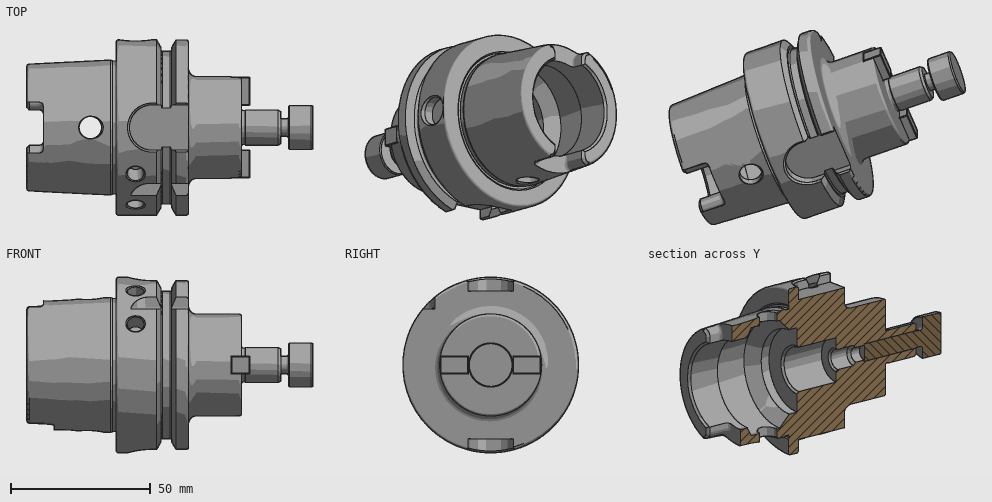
import cadquery as cq
import math

TAPER_LENGTH = 32.0
FLANGE_WIDTH = 26.0
HUB_END_X = 45.0
SPIGOT_END_X = 59.0
OVERALL_LENGTH = 102.47
NOSE_X = -TAPER_LENGTH
CUT_CLEARANCE = 1.0
HEAD_END_X = OVERALL_LENGTH - TAPER_LENGTH

GAUGE_RADIUS = 48.0 / 2
GAUGE_X = -6.3
TAPER_RATE = 1 / 9.98
TAPER_END_X = -1.9
NOSE_FILLET = 1.0
RELIEF_X = -1.2
RELIEF_RADIUS = 23.9
RELIEF_DEPTH = 0.35
RELIEF_INNER_RADIUS = 24.8
RELIEF_OUTER_RADIUS = 25.3

FLANGE_RADIUS = 63.0 / 2
FLANGE_FILLET = 1.0
GROOVE_CENTRE_X = 18.0
GROOVE_MOUTH = 7.0
GROOVE_WAIST = 3.75
GROOVE_RADIUS = 27.4
GROOVE_WALL_ANGLE = math.radians(60)
GROOVE_WAIST_RADIUS = FLANGE_RADIUS - (GROOVE_MOUTH - GROOVE_WAIST) / 2 * math.tan(GROOVE_WALL_ANGLE)
GROOVE_FILLET = 0.5

HUB_RADIUS = 36.6 / 2
HUB_FILLET = 2.8
HUB_END_FILLET = 0.9
SPIGOT_RADIUS = 12.7 / 2
SPIGOT_CHAMFER = 1.0
SPIGOT_CHAMFER_DEPTH = 0.6
NECK_RADIUS = 12.3 / 2
NECK_LENGTH = 1.2
NECK_FILLET = 0.4

BORE_RADIUS = 34.0 / 2
BORE_CHAMFER = 0.8
LIP_END_X = -18.9
LIP_SLOPE = math.radians(30)
CLAMP_RADIUS = 20.3
CLAMP_END_X = -4.0
BORE_FLOOR_X = 4.0
BORE_FLOOR_RADIUS = 15.9
THREAD_RADIUS = 16.6 / 2
THREAD_CHAMFER = 0.8
THREAD_FLOOR_X = 22.0
COOLANT_RADIUS = 7.5 / 2
COOLANT_CHAMFER = 0.7
COOLANT_FLOOR_X = 30.0
TAP_DRILL_RADIUS = 5.36 / 2

NOTCH_HALF_WIDTH = 12.54 / 2
NOTCH_LIP_RADIUS = 2.8
NOTCH_LIP_START = 18.0
NOTCH_BOTTOM = 12.0
NOTCH_FLOOR_FILLET = 1.5
NOTCH_MOUTH_CHAMFER = NOSE_FILLET
TOP_NOTCH_DEPTH = 6.0
BOTTOM_NOTCH_DEPTH = 9.8

CROSS_HOLE_ANGLE = 90.0
CROSS_HOLE_X = -9.2
CROSS_HOLE_RADIUS = 8.0 / 2
CROSS_HOLE_CHAMFER = 0.4

POCKET_FLOOR = 26.5
POCKET_HALF_WIDTH = 8.1
POCKET_CENTRE_X = 12.9
POCKET_RIM_CHAMFER = 0.7
ORIENTATION_OFFSET = 20.0
ORIENTATION_CUTTER_RADIUS = 7.5
ORIENTATION_CENTRE_X = 11.9
ORIENTATION_FILLET = 0.5
RADIAL_HOLE_X = 7.0
RADIAL_HOLE_ANGLES = (28.0, 58.0)
RADIAL_HOLE_RADIUS = 6.0 / 2
RADIAL_HOLE_CHAMFER = 0.5
RADIAL_HOLE_FLOOR = 23.5
CHIP_HOLE_ANGLE = 180.0
CHIP_HOLE_X = RADIAL_HOLE_X
CHIP_HOLE_RADIUS = 10.0 / 2
CHIP_HOLE_CHAMFER = 1.0
CHIP_HOLE_FLOOR = 27.0

KEY_WIDTH = 6.35
KEY_START_X = 41.2
KEY_END_X = 48.0
KEY_INNER_Y = 7.95
KEY_OUTER_Y = 18.05
KEY_CHAMFER = 0.3
KEY_ANGLES = (0, 180)

SCREW_RADIUS = 6.35 / 2
SCREW_START_X = 35.0
HEAD_RADIUS = 15.88 / 2
HEAD_START_X = 61.8
HEAD_INNER_FILLET = 0.8
HEAD_BACK_CHAMFER = 0.4
HEAD_FRONT_CHAMFER_LENGTH = 0.6
HEAD_FRONT_CHAMFER_DEPTH = 0.3


def taper_radius(x):
    """Outer radius of the taper shank at a station along the axis."""
    return GAUGE_RADIUS + (x - GAUGE_X) * TAPER_RATE / 2


def revolve_about_x(profile):
    return profile.close().revolve(360, (0, 0, 0), (1, 0, 0))


def radial_plane(angle, x, height):
    """Plane whose normal points radially outward, angle measured from -Y towards +Z."""
    y = -math.cos(math.radians(angle))
    z = math.sin(math.radians(angle))
    return cq.Workplane(cq.Plane(origin=(x, height * y, height * z), xDir=(1, 0, 0), normal=(0, y, z)))


def housing_blank():
    """Solid of revolution with the shank, flange, hub and spigot."""
    taper_angle = math.atan(TAPER_RATE / 2)
    nose_setback = NOSE_FILLET / math.tan((math.pi / 2 + taper_angle) / 2)
    nose_tangent_x = NOSE_X + nose_setback * math.cos(taper_angle)
    mouth_left = GROOVE_CENTRE_X - GROOVE_MOUTH / 2
    mouth_right = GROOVE_CENTRE_X + GROOVE_MOUTH / 2
    waist_left = GROOVE_CENTRE_X - GROOVE_WAIST / 2
    waist_right = GROOVE_CENTRE_X + GROOVE_WAIST / 2
    profile = (
        cq.Workplane("XY")
        .moveTo(NOSE_X, 0)
        .lineTo(NOSE_X, taper_radius(NOSE_X) - nose_setback)
        .radiusArc((nose_tangent_x, taper_radius(nose_tangent_x)), NOSE_FILLET)
        .lineTo(TAPER_END_X, taper_radius(TAPER_END_X))
        .lineTo(RELIEF_X, RELIEF_RADIUS)
        .lineTo(RELIEF_DEPTH, RELIEF_RADIUS)
        .lineTo(RELIEF_DEPTH, RELIEF_INNER_RADIUS)
        .lineTo(0, RELIEF_OUTER_RADIUS)
        .lineTo(0, FLANGE_RADIUS - FLANGE_FILLET)
        .radiusArc((FLANGE_FILLET, FLANGE_RADIUS), FLANGE_FILLET)
        .lineTo(mouth_left, FLANGE_RADIUS)
        .lineTo(waist_left, GROOVE_WAIST_RADIUS)
        .lineTo(waist_left, GROOVE_RADIUS + GROOVE_FILLET)
        .radiusArc((waist_left + GROOVE_FILLET, GROOVE_RADIUS), -GROOVE_FILLET)
        .lineTo(waist_right - GROOVE_FILLET, GROOVE_RADIUS)
        .radiusArc((waist_right, GROOVE_RADIUS + GROOVE_FILLET), -GROOVE_FILLET)
        .lineTo(waist_right, GROOVE_WAIST_RADIUS)
        .lineTo(mouth_right, FLANGE_RADIUS)
        .lineTo(FLANGE_WIDTH - FLANGE_FILLET, FLANGE_RADIUS)
        .radiusArc((FLANGE_WIDTH, FLANGE_RADIUS - FLANGE_FILLET), FLANGE_FILLET)
        .lineTo(FLANGE_WIDTH, HUB_RADIUS + HUB_FILLET)
        .radiusArc((FLANGE_WIDTH + HUB_FILLET, HUB_RADIUS), -HUB_FILLET)
        .lineTo(HUB_END_X - HUB_END_FILLET, HUB_RADIUS)
        .radiusArc((HUB_END_X, HUB_RADIUS - HUB_END_FILLET), HUB_END_FILLET)
        .lineTo(HUB_END_X, NECK_RADIUS + NECK_FILLET)
        .radiusArc((HUB_END_X + NECK_FILLET, NECK_RADIUS), -NECK_FILLET)
        .lineTo(HUB_END_X + NECK_LENGTH, NECK_RADIUS)
        .lineTo(HUB_END_X + NECK_LENGTH + SPIGOT_RADIUS - NECK_RADIUS, SPIGOT_RADIUS)
        .lineTo(SPIGOT_END_X - SPIGOT_CHAMFER, SPIGOT_RADIUS)
        .lineTo(SPIGOT_END_X, SPIGOT_RADIUS - SPIGOT_CHAMFER_DEPTH)
        .lineTo(SPIGOT_END_X, 0)
    )
    return revolve_about_x(profile)


def internal_bores():
    """Stepped cutter on the axis: clamping bore, coolant tube thread, coolant hole and screw hole."""
    clamp_step = CLAMP_RADIUS - BORE_RADIUS
    floor_step = CLAMP_RADIUS - BORE_FLOOR_RADIUS
    drill_start_x = COOLANT_FLOOR_X + COOLANT_RADIUS - TAP_DRILL_RADIUS
    profile = (
        cq.Workplane("XY")
        .moveTo(NOSE_X, 0)
        .lineTo(NOSE_X, BORE_RADIUS + BORE_CHAMFER)
        .lineTo(NOSE_X + BORE_CHAMFER, BORE_RADIUS)
        .lineTo(LIP_END_X, BORE_RADIUS)
        .lineTo(LIP_END_X + clamp_step * math.tan(LIP_SLOPE), CLAMP_RADIUS)
        .lineTo(CLAMP_END_X, CLAMP_RADIUS)
        .lineTo(CLAMP_END_X + floor_step, BORE_FLOOR_RADIUS)
        .lineTo(BORE_FLOOR_X, BORE_FLOOR_RADIUS)
        .lineTo(BORE_FLOOR_X, THREAD_RADIUS + THREAD_CHAMFER)
        .lineTo(BORE_FLOOR_X + THREAD_CHAMFER, THREAD_RADIUS)
        .lineTo(THREAD_FLOOR_X, THREAD_RADIUS)
        .lineTo(THREAD_FLOOR_X, COOLANT_RADIUS + COOLANT_CHAMFER)
        .lineTo(THREAD_FLOOR_X + COOLANT_CHAMFER, COOLANT_RADIUS)
        .lineTo(COOLANT_FLOOR_X, COOLANT_RADIUS)
        .lineTo(drill_start_x, TAP_DRILL_RADIUS)
        .lineTo(SCREW_START_X, TAP_DRILL_RADIUS)
        .lineTo(SCREW_START_X, SCREW_RADIUS)
        .lineTo(SPIGOT_END_X, SCREW_RADIUS)
        .lineTo(SPIGOT_END_X, 0)
    )
    return revolve_about_x(profile)


def notch_outline(plane, growth):
    """Cross-section of the +Z notch, its walls curving outward at the lips, grown on all curved sides."""
    lip_y = NOTCH_HALF_WIDTH + NOTCH_LIP_RADIUS
    lip_radius = NOTCH_LIP_RADIUS - growth
    half_width = NOTCH_HALF_WIDTH + growth
    lip_z = NOTCH_LIP_START + lip_radius
    return (
        plane.moveTo(-half_width, NOTCH_BOTTOM)
        .lineTo(-half_width, NOTCH_LIP_START)
        .radiusArc((-lip_y, lip_z), -lip_radius)
        .lineTo(-lip_y, FLANGE_RADIUS)
        .lineTo(lip_y, FLANGE_RADIUS)
        .lineTo(lip_y, lip_z)
        .radiusArc((half_width, NOTCH_LIP_START), -lip_radius)
        .lineTo(half_width, NOTCH_BOTTOM)
        .close()
    )


def drive_notch(depth):
    """Cutter for the +Z notch, with rounded floor edges and a chamfered mouth."""
    nose_plane = cq.Workplane("YZ", origin=(NOSE_X, 0, 0))
    notch = notch_outline(nose_plane, 0).extrude(depth).faces(">X").edges().fillet(NOTCH_FLOOR_FILLET)
    mouth = notch_outline(nose_plane, NOTCH_MOUTH_CHAMFER).workplane(offset=NOTCH_MOUTH_CHAMFER)
    return notch.union(notch_outline(mouth, 0).loft(ruled=True))


def chamfered_hole(mouth_plane, radius, depth, chamfer):
    """Cutter for a countersunk hole; its cone continues above the mouth plane to clear the curved surface."""
    bore = mouth_plane.circle(radius).extrude(-depth)
    cone = (
        mouth_plane.workplane(offset=-chamfer)
        .circle(radius)
        .workplane(offset=chamfer + CUT_CLEARANCE)
        .circle(radius + chamfer + CUT_CLEARANCE)
        .loft()
    )
    return bore.union(cone)


def flange_pocket():
    """Cutter for the +Z round-ended drive pocket, open towards the hub, with a chamfered rim."""
    open_end_x = FLANGE_WIDTH + POCKET_HALF_WIDTH
    slot = (
        cq.Workplane("XY", origin=(0, 0, POCKET_FLOOR))
        .moveTo(open_end_x, -POCKET_HALF_WIDTH)
        .lineTo(POCKET_CENTRE_X, -POCKET_HALF_WIDTH)
        .threePointArc((POCKET_CENTRE_X - POCKET_HALF_WIDTH, 0), (POCKET_CENTRE_X, POCKET_HALF_WIDTH))
        .lineTo(open_end_x, POCKET_HALF_WIDTH)
        .close()
        .extrude(FLANGE_RADIUS)
    )
    disc = cq.Workplane("YZ").circle(FLANGE_RADIUS).extrude(FLANGE_WIDTH)
    rim_zone = cq.selectors.BoxSelector(
        (0, -FLANGE_RADIUS / 2, POCKET_FLOOR + POCKET_RIM_CHAMFER),
        (FLANGE_WIDTH - POCKET_RIM_CHAMFER, FLANGE_RADIUS / 2, FLANGE_RADIUS),
    )
    slotted_disc = disc.cut(slot)
    rim = slotted_disc.edges(rim_zone).edges("not(|Z)")
    return disc.cut(rim.chamfer(POCKET_RIM_CHAMFER))


def orientation_notch():
    """Corner notch between -Y and +Z, with a milled run-out at its shank end."""
    size = FLANGE_RADIUS - ORIENTATION_OFFSET
    run_out_y = -ORIENTATION_OFFSET - ORIENTATION_CUTTER_RADIUS
    end_x = FLANGE_WIDTH + CUT_CLEARANCE
    notch = (
        cq.Workplane("XY", origin=(0, 0, ORIENTATION_OFFSET))
        .moveTo(end_x, -ORIENTATION_OFFSET)
        .lineTo(ORIENTATION_CENTRE_X, -ORIENTATION_OFFSET)
        .radiusArc((ORIENTATION_CENTRE_X - ORIENTATION_CUTTER_RADIUS, run_out_y), -ORIENTATION_CUTTER_RADIUS)
        .lineTo(ORIENTATION_CENTRE_X - ORIENTATION_CUTTER_RADIUS, -ORIENTATION_OFFSET - size)
        .lineTo(end_x, -ORIENTATION_OFFSET - size)
        .close()
        .extrude(size)
    )
    return notch.faces("<Z").edges().fillet(ORIENTATION_FILLET)


def mirrored_copy(body):
    """Copy turned half a revolution about the tool axis."""
    return body.rotate((0, 0, 0), (1, 0, 0), 180)


def key_slot():
    """Cutter for the -Y key slot in the hub, open radially and towards the hub end."""
    depth = HUB_RADIUS + CUT_CLEARANCE - KEY_INNER_Y
    slot = cq.Workplane("XY").box(HUB_END_X - KEY_START_X, depth, KEY_WIDTH, centered=(False, False, True))
    return slot.translate((KEY_START_X, -KEY_INNER_Y - depth, 0))


def build_housing():
    """Tool holder body with all its cuts."""
    body = housing_blank().cut(internal_bores())
    body = body.cut(drive_notch(TOP_NOTCH_DEPTH))
    body = body.cut(mirrored_copy(drive_notch(BOTTOM_NOTCH_DEPTH)))
    cross_mouth = taper_radius(CROSS_HOLE_X)
    cross_hole = chamfered_hole(
        radial_plane(CROSS_HOLE_ANGLE, CROSS_HOLE_X, cross_mouth),
        CROSS_HOLE_RADIUS, cross_mouth, CROSS_HOLE_CHAMFER,
    )
    for cutter in (cross_hole, flange_pocket(), key_slot()):
        body = body.cut(cutter).cut(mirrored_copy(cutter))
    body = body.cut(orientation_notch())
    for angle in RADIAL_HOLE_ANGLES:
        body = body.cut(chamfered_hole(
            radial_plane(angle, RADIAL_HOLE_X, FLANGE_RADIUS),
            RADIAL_HOLE_RADIUS, FLANGE_RADIUS - RADIAL_HOLE_FLOOR, RADIAL_HOLE_CHAMFER,
        ))
    return body.cut(chamfered_hole(
        radial_plane(CHIP_HOLE_ANGLE, CHIP_HOLE_X, FLANGE_RADIUS),
        CHIP_HOLE_RADIUS, FLANGE_RADIUS - CHIP_HOLE_FLOOR, CHIP_HOLE_CHAMFER,
    ))


def build_key():
    """Chamfered drive key on the -Y side."""
    height = KEY_OUTER_Y - KEY_INNER_Y
    block = cq.Workplane("XY").box(KEY_END_X - KEY_START_X, height, KEY_WIDTH, centered=(False, False, True))
    return block.translate((KEY_START_X, -KEY_OUTER_Y, 0)).edges().chamfer(KEY_CHAMFER)


def build_screw():
    """Arbor screw with a cylindrical head, held in the spigot."""
    profile = (
        cq.Workplane("XY")
        .moveTo(SCREW_START_X, 0)
        .lineTo(SCREW_START_X, SCREW_RADIUS)
        .lineTo(HEAD_START_X - HEAD_INNER_FILLET, SCREW_RADIUS)
        .radiusArc((HEAD_START_X, SCREW_RADIUS + HEAD_INNER_FILLET), -HEAD_INNER_FILLET)
        .lineTo(HEAD_START_X, HEAD_RADIUS - HEAD_BACK_CHAMFER)
        .lineTo(HEAD_START_X + HEAD_BACK_CHAMFER, HEAD_RADIUS)
        .lineTo(HEAD_END_X - HEAD_FRONT_CHAMFER_LENGTH, HEAD_RADIUS)
        .lineTo(HEAD_END_X, HEAD_RADIUS - HEAD_FRONT_CHAMFER_DEPTH)
        .lineTo(HEAD_END_X, 0)
    )
    return revolve_about_x(profile)


housing = build_housing()
screw = build_screw()
keys = []
for key_angle in KEY_ANGLES:
    keys.append(build_key().rotate((0, 0, 0), (1, 0, 0), key_angle))

result = cq.Compound.makeCompound([housing.val(), screw.val(), *[key.val() for key in keys]])